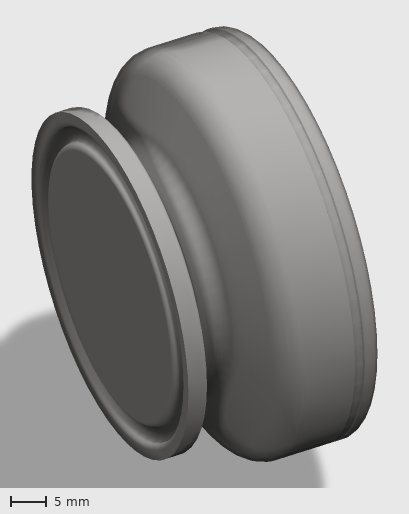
import cadquery as cq
import math

total_height = 27.55
body_radius = 30
flange_radius = 25.25
neck_radius = 17.95

lower_cone_angle = math.radians(20)
upper_cone_angle = math.radians(17.5)
neck_fillet = 2.0
neck_land_bottom = 6.95
neck_land_top = 7.75

flange_rim_height = 2.35

shoulder_fillet = 4.0
top_fillet = 1.9

band_bottom = 23.4
band_top = 24.9
band_depth = 0.2
band_chamfer_height = 0.2

groove_radius = 21.8
groove_depth = 1.7
groove_bottom_radius = 1.2
groove_lip_fillet = 0.85
groove_wall_angle = math.radians(20)


def arc_point(center, radius, angle):
    """Point on a circle, with the angle taken from the outward radial direction."""
    return (center[0] + radius * math.cos(angle), center[1] + radius * math.sin(angle))


def make_body():
    """Flange, neck and round body as one turned solid."""
    lower_normal = math.pi / 2 - lower_cone_angle
    upper_normal = math.pi / 2 - upper_cone_angle
    inward = math.pi

    neck_center_radius = neck_radius + neck_fillet
    lower_neck = (neck_center_radius, neck_land_bottom)
    upper_neck = (neck_center_radius, neck_land_top)
    lower_cone_end = arc_point(lower_neck, neck_fillet, inward + lower_normal)
    upper_cone_start = arc_point(upper_neck, neck_fillet, inward - upper_normal)

    shoulder_center_radius = body_radius - shoulder_fillet
    shoulder_start_radius = shoulder_center_radius + shoulder_fillet * math.cos(upper_normal)
    upper_cone_width = shoulder_start_radius - upper_cone_start[0]
    shoulder_start_height = upper_cone_start[1] + upper_cone_width * math.tan(upper_cone_angle)
    shoulder_center = (
        shoulder_center_radius,
        shoulder_start_height + shoulder_fillet * math.sin(upper_normal),
    )
    top_center = (body_radius - top_fillet, total_height - top_fillet)

    lower_cone_width = flange_radius - lower_cone_end[0]
    cone_height_at_rim = lower_cone_end[1] - lower_cone_width * math.tan(lower_cone_angle)
    corner_half_turn = lower_normal / 2
    corner_fillet = (cone_height_at_rim - flange_rim_height) / math.tan(corner_half_turn)
    corner_center = (flange_radius - corner_fillet, flange_rim_height)

    profile = (
        cq.Workplane("XY")
        .lineTo(flange_radius, 0)
        .lineTo(flange_radius, flange_rim_height)
        .threePointArc(
            arc_point(corner_center, corner_fillet, corner_half_turn),
            arc_point(corner_center, corner_fillet, lower_normal),
        )
        .lineTo(*lower_cone_end)
        .threePointArc(
            arc_point(lower_neck, neck_fillet, inward + lower_normal / 2),
            (neck_radius, neck_land_bottom),
        )
        .lineTo(neck_radius, neck_land_top)
        .threePointArc(
            arc_point(upper_neck, neck_fillet, inward - upper_normal / 2),
            upper_cone_start,
        )
        .lineTo(shoulder_start_radius, shoulder_start_height)
        .threePointArc(
            arc_point(shoulder_center, shoulder_fillet, -upper_normal / 2),
            (body_radius, shoulder_center[1]),
        )
        .lineTo(body_radius, band_bottom)
        .lineTo(body_radius - band_depth, band_bottom)
        .lineTo(body_radius - band_depth, band_top - band_chamfer_height)
        .lineTo(body_radius, band_top)
        .lineTo(body_radius, top_center[1])
        .threePointArc(
            arc_point(top_center, top_fillet, math.pi / 4),
            (top_center[0], total_height),
        )
        .lineTo(0, total_height)
        .close()
    )
    return profile.revolve(360, (0, 0, 0), (0, 1, 0))


def make_groove():
    """Ring removed from the sealing face."""
    bottom_center = (groove_radius, groove_depth - groove_bottom_radius)
    inner_wall_end = arc_point(bottom_center, groove_bottom_radius, math.pi - groove_wall_angle)
    outer_wall_end = arc_point(bottom_center, groove_bottom_radius, groove_wall_angle)

    lip_depth = groove_lip_fillet * (1 - math.sin(groove_wall_angle))
    wall_width = (outer_wall_end[1] - lip_depth) * math.tan(groove_wall_angle)
    lip_offset = wall_width + groove_lip_fillet * math.cos(groove_wall_angle)
    inner_lip = (inner_wall_end[0] - lip_offset, groove_lip_fillet)
    outer_lip = (outer_wall_end[0] + lip_offset, groove_lip_fillet)

    lip_turn = math.pi / 2 - groove_wall_angle
    down = -math.pi / 2

    profile = (
        cq.Workplane("XY")
        .moveTo(inner_lip[0], 0)
        .threePointArc(
            arc_point(inner_lip, groove_lip_fillet, down + lip_turn / 2),
            arc_point(inner_lip, groove_lip_fillet, down + lip_turn),
        )
        .lineTo(*inner_wall_end)
        .threePointArc((groove_radius, groove_depth), outer_wall_end)
        .lineTo(*arc_point(outer_lip, groove_lip_fillet, down - lip_turn))
        .threePointArc(
            arc_point(outer_lip, groove_lip_fillet, down - lip_turn / 2),
            (outer_lip[0], 0),
        )
        .close()
    )
    return profile.revolve(360, (0, 0, 0), (0, 1, 0))


result = make_body().cut(make_groove())